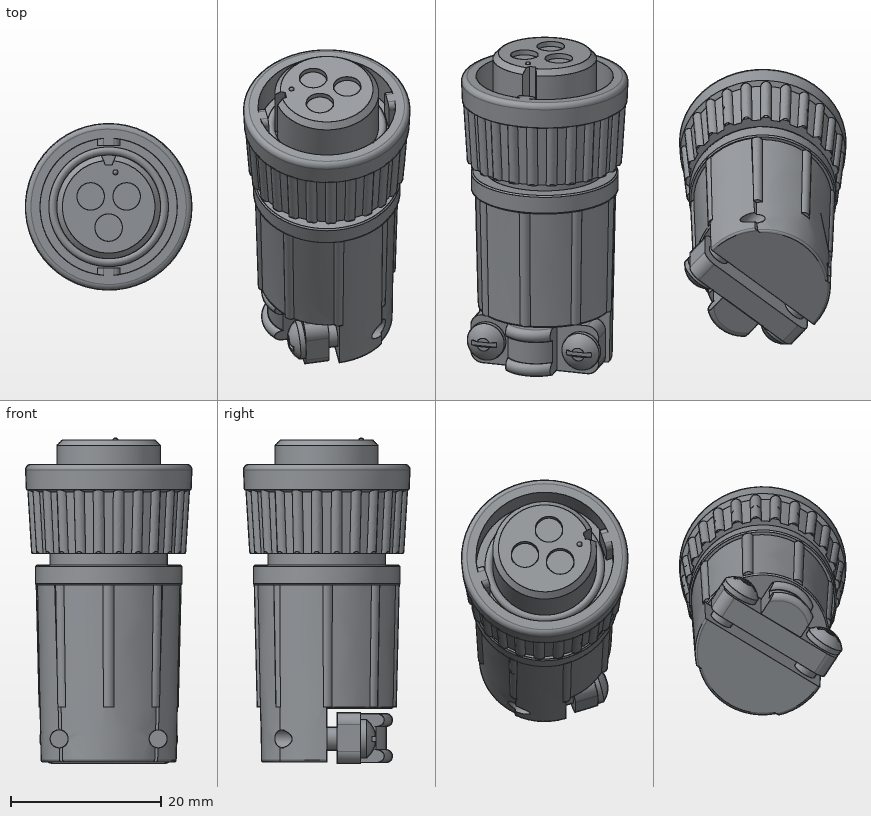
import cadquery as cq
import math

BODY_BOTTOM = 0.2
BACK_BOTTOM = 7.35
RIB_BOTTOM = 7.55
COLLAR_BOTTOM = 23.8
COLLAR_TOP = 26.45
GRIP_BOTTOM = 28.0
RING_BOTTOM = 36.55
RING_TOP = 39.9
CAVITY_FLOOR = 35.5
INSERT_TOP = 43.15
OVERALL_HEIGHT = 43.4

BODY_TOP_RADIUS = 9.2
BODY_BOTTOM_RADIUS = 8.72
BODY_EDGE_FILLET = 0.3
BACK_EDGE_CHAMFER = 0.2
FLANK_TOP_RADIUS = 9.5
FLANK_BOTTOM_RADIUS = 9.0
FLANK_FRONT_Y = -6.2
RIB_COUNT = 8
RIB_RADIUS = 0.8
RIB_CREST_TOP = 9.67
RIB_CREST_BOTTOM = 9.28
COLLAR_RADIUS = 9.8
COLLAR_CHAMFER = 0.2
NECK_RADIUS = 7.84

RING_RADIUS = 11.11
RING_LOWER_RADIUS = 11.0
RING_ROUND = 0.75
RING_UNDERCUT = 0.35
GRIP_ROOT_TOP = 10.3
GRIP_ROOT_BOTTOM = 9.8
GRIP_RIB_COUNT = 24
GRIP_RIB_RADIUS = 0.75
GRIP_CREST_TOP = 10.88
GRIP_CREST_BOTTOM = 10.35
GRIP_BEVEL_HEIGHT = 0.25
GRIP_BEVEL_WIDTH = 0.12
CAVITY_RADIUS = 9.15
TAB_HALF_WIDTH = 1.5
TAB_INNER_Y = 8.15
TAB_ROUND = 0.8
TAB_EMBED = 0.1
SEAL_INNER_RADIUS = 6.92
SEAL_OUTER_RADIUS = 8.0
SEAL_SQUEEZE = 0.02
SEAL_SEAT = 0.05

INSERT_RADIUS = 6.92
INSERT_CHAMFER = 0.75
CONTACT_COUNT = 3
CONTACT_RADIUS = 1.83
CONTACT_CIRCLE = 2.77
CONTACT_DEPTH = 0.7
KEYWAY_FLOOR_Y = 5.57
KEYWAY_FLOOR_HALF = 0.44
KEYWAY_MOUTH_HALF = 1.0
PIP_RADIUS = 0.35
PIP_X = 0.9
PIP_Y = 4.6

SCREW_X = 6.6
CLAMP_HEIGHT = 6.8
CLAMP_MID_Z = CLAMP_HEIGHT / 2
CLAMP_HALF_LENGTH = 8.9
CLAMP_CORNER = 1.6
CLAMP_FRONT_Y = 1.38
CLAMP_BACK_Y = 4.53
SCREW_Z = 3.3
SHANK_RADIUS = 1.55
SHANK_EMBED = 1.0
HEAD_RADIUS = 2.58
HEAD_SHOULDER = 0.75
HEAD_HEIGHT = 1.9
HEAD_FLAT_RADIUS = 0.9
HEAD_DOME_BULGE = 0.15
HEAD_SLOT_WIDTH = 0.66
HEAD_SLOT_DEPTH = 0.4
SADDLE_CENTER_Y = 3.82
SADDLE_RADIUS = 4.94
SADDLE_HALF_LENGTH = 3.1
SADDLE_HEIGHT = 6.55
SADDLE_GROOVE_RADIUS = 4.14
SADDLE_RIM_ROUND = 0.87
SCREW_HOLE_RADIUS = 1.2
SCREW_HOLE_END_Y = -3.0

BIG = 30.0


def cylinder(radius, bottom, top):
    return cq.Workplane("XY").workplane(offset=bottom).circle(radius).extrude(top - bottom)


def cone(bottom_radius, top_radius, bottom, top):
    """Upright cone frustum."""
    profile = [(0, bottom), (bottom_radius, bottom), (top_radius, top), (0, top)]
    return cq.Workplane("XZ").polyline(profile).close().revolve(360, (0, 0), (0, 1))


def block(x_min, x_max, y_min, y_max, z_min, z_max):
    box = cq.Workplane("XY").box(x_max - x_min, y_max - y_min, z_max - z_min, centered=False)
    return box.translate((x_min, y_min, z_min))


def leaning_ribs(count, first_angle, radius, crest_bottom, crest_top, bottom, top):
    """Ring of round ribs whose crests follow a cone."""
    rib = (
        cq.Workplane("XY").workplane(offset=bottom)
        .center(radius - crest_bottom, 0).circle(radius)
        .workplane(offset=top - bottom)
        .center(crest_bottom - crest_top, 0).circle(radius)
        .loft(ruled=True)
    )
    step = 360 / count
    return [rib.rotate((0, 0, 0), (0, 0, 1), first_angle + i * step) for i in range(count)]


def make_body():
    body = cone(BODY_BOTTOM_RADIUS, BODY_TOP_RADIUS, BODY_BOTTOM, COLLAR_BOTTOM)
    body = body.faces("<Z").edges().fillet(BODY_EDGE_FILLET)
    flanks = cone(FLANK_BOTTOM_RADIUS, FLANK_TOP_RADIUS, BODY_BOTTOM, COLLAR_BOTTOM)
    flanks = flanks.faces("<Z").edges().fillet(BODY_EDGE_FILLET)
    flanks = flanks.intersect(block(-BIG, BIG, FLANK_FRONT_Y, 0, 0, COLLAR_BOTTOM))
    body = body.union(flanks)
    body = body.cut(block(-BIG, BIG, 0, BIG, 0, BACK_BOTTOM))
    back_edge = cq.selectors.NearestToPointSelector((0, BODY_BOTTOM_RADIUS, BACK_BOTTOM))
    body = body.edges(back_edge).chamfer(BACK_EDGE_CHAMFER)

    ribs = leaning_ribs(
        RIB_COUNT, 0, RIB_RADIUS, RIB_CREST_BOTTOM, RIB_CREST_TOP, RIB_BOTTOM, COLLAR_BOTTOM
    )
    for rib in ribs:
        body = body.union(rib)

    collar = cylinder(COLLAR_RADIUS, COLLAR_BOTTOM, COLLAR_TOP).edges().chamfer(COLLAR_CHAMFER)
    return body.union(collar)


def make_screw_holes():
    holes = cq.Workplane("XZ", origin=(0, SCREW_HOLE_END_Y, SCREW_Z))
    return holes.pushPoints([(-SCREW_X, 0), (SCREW_X, 0)]).circle(SCREW_HOLE_RADIUS).extrude(BIG)


def make_ring():
    round_z = RING_TOP - RING_ROUND
    round_x = RING_RADIUS - RING_ROUND
    round_mid = RING_ROUND * math.sqrt(0.5)
    undercut_z = RING_BOTTOM - RING_UNDERCUT
    ring = (
        cq.Workplane("XZ")
        .moveTo(0, GRIP_BOTTOM)
        .lineTo(GRIP_ROOT_BOTTOM, GRIP_BOTTOM)
        .lineTo(GRIP_ROOT_TOP, undercut_z)
        .lineTo(RING_LOWER_RADIUS, RING_BOTTOM)
        .lineTo(RING_RADIUS, round_z)
        .threePointArc((round_x + round_mid, round_z + round_mid), (round_x, RING_TOP))
        .lineTo(0, RING_TOP)
        .close()
        .revolve(360, (0, 0), (0, 1))
    )
    half_step = 180 / GRIP_RIB_COUNT
    ribs = leaning_ribs(
        GRIP_RIB_COUNT, half_step, GRIP_RIB_RADIUS,
        GRIP_CREST_BOTTOM, GRIP_CREST_TOP, GRIP_BOTTOM, RING_BOTTOM,
    )
    for rib in ribs:
        ring = ring.union(rib)

    bevel_top = GRIP_BOTTOM + GRIP_BEVEL_HEIGHT
    bevel = cylinder(BIG, GRIP_BOTTOM, bevel_top).cut(
        cone(GRIP_CREST_BOTTOM - GRIP_BEVEL_WIDTH, GRIP_CREST_BOTTOM, GRIP_BOTTOM, bevel_top)
    )
    ring = ring.cut(bevel)

    ring = ring.cut(cylinder(CAVITY_RADIUS, CAVITY_FLOOR, RING_TOP))
    for y_sign in (1, -1):
        ring = ring.union(make_tab(y_sign))
    return ring


def make_tab(y_sign):
    """Guide tab on the cavity wall, with its upper side edges rounded."""
    outer_y = CAVITY_RADIUS + TAB_EMBED
    tab = block(-TAB_HALF_WIDTH, TAB_HALF_WIDTH, TAB_INNER_Y, outer_y, CAVITY_FLOOR, RING_TOP)
    tab = tab.faces(">Z").edges("|Y").fillet(TAB_ROUND)
    if y_sign < 0:
        tab = tab.mirror("XZ")
    return tab


def make_seal():
    tube = (SEAL_OUTER_RADIUS - SEAL_INNER_RADIUS) / 2
    middle = (SEAL_OUTER_RADIUS + SEAL_INNER_RADIUS) / 2 - SEAL_SQUEEZE
    center_z = CAVITY_FLOOR + tube - SEAL_SEAT
    section = cq.Workplane("XZ").center(middle, center_z).circle(tube)
    return section.revolve(360, (-middle, 0), (-middle, 1))


def make_insert():
    insert = cylinder(INSERT_RADIUS, CAVITY_FLOOR, INSERT_TOP)
    insert = insert.faces(">Z").edges().chamfer(INSERT_CHAMFER)

    contacts = (
        cq.Workplane("XY").workplane(offset=INSERT_TOP - CONTACT_DEPTH)
        .polarArray(CONTACT_CIRCLE, -90, 360, CONTACT_COUNT)
        .circle(CONTACT_RADIUS).extrude(CONTACT_DEPTH)
    )
    keyway = (
        cq.Workplane("XY").workplane(offset=CAVITY_FLOOR)
        .polyline([
            (-KEYWAY_FLOOR_HALF, KEYWAY_FLOOR_Y),
            (KEYWAY_FLOOR_HALF, KEYWAY_FLOOR_Y),
            (KEYWAY_MOUTH_HALF, INSERT_RADIUS),
            (-KEYWAY_MOUTH_HALF, INSERT_RADIUS),
        ])
        .close().extrude(INSERT_TOP - CAVITY_FLOOR)
    )
    pip = cq.Workplane("XY").sphere(PIP_RADIUS)
    pip = pip.translate((PIP_X, PIP_Y, OVERALL_HEIGHT - PIP_RADIUS))
    return insert.cut(contacts).cut(keyway).union(pip)


def make_saddle():
    """Arched block with two rounded rims and a groove between them."""
    rim = SADDLE_RIM_ROUND
    rim_center = SADDLE_RADIUS - rim
    saddle = (
        cq.Workplane("XZ")
        .lineTo(rim_center, 0)
        .threePointArc((SADDLE_RADIUS, rim), (rim_center, 2 * rim))
        .lineTo(SADDLE_GROOVE_RADIUS, 2 * rim)
        .lineTo(SADDLE_GROOVE_RADIUS, SADDLE_HEIGHT - 2 * rim)
        .lineTo(rim_center, SADDLE_HEIGHT - 2 * rim)
        .threePointArc((SADDLE_RADIUS, SADDLE_HEIGHT - rim), (rim_center, SADDLE_HEIGHT))
        .lineTo(0, SADDLE_HEIGHT)
        .close()
        .revolve(360, (0, 0), (0, 1))
    )
    saddle = saddle.translate((0, SADDLE_CENTER_Y, CLAMP_MID_Z - SADDLE_HEIGHT / 2))
    keep = block(
        -SADDLE_HALF_LENGTH, SADDLE_HALF_LENGTH, CLAMP_FRONT_Y, BIG, 0, CLAMP_HEIGHT
    )
    return saddle.intersect(keep)


def make_screw():
    """Slotted screw along Y, with its shank running into the body."""
    shoulder_y = CLAMP_BACK_Y + HEAD_SHOULDER
    tip_y = CLAMP_BACK_Y + HEAD_HEIGHT
    screw = (
        cq.Workplane("XY")
        .moveTo(0, -SHANK_EMBED)
        .lineTo(SHANK_RADIUS, -SHANK_EMBED)
        .lineTo(SHANK_RADIUS, CLAMP_BACK_Y)
        .lineTo(HEAD_RADIUS, CLAMP_BACK_Y)
        .lineTo(HEAD_RADIUS, shoulder_y)
        .sagittaArc((HEAD_FLAT_RADIUS, tip_y), -HEAD_DOME_BULGE)
        .lineTo(0, tip_y)
        .close()
        .revolve(360, (0, 0), (0, 1))
    )
    half_slot = HEAD_SLOT_WIDTH / 2
    slot = block(-BIG, BIG, tip_y - HEAD_SLOT_DEPTH, tip_y, -half_slot, half_slot)
    return screw.cut(slot).translate((0, 0, SCREW_Z))


def make_clamp():
    clamp = block(
        -CLAMP_HALF_LENGTH, CLAMP_HALF_LENGTH, CLAMP_FRONT_Y, CLAMP_BACK_Y, 0, CLAMP_HEIGHT
    )
    clamp = clamp.edges("|Y").fillet(CLAMP_CORNER)
    clamp = clamp.union(make_saddle())
    for x in (-SCREW_X, SCREW_X):
        clamp = clamp.union(make_screw().translate((x, 0, 0)))
    return clamp


result = make_body().cut(make_screw_holes())
result = result.union(cylinder(NECK_RADIUS, COLLAR_TOP, GRIP_BOTTOM))
result = result.union(make_ring())
result = result.union(make_insert())
result = result.union(make_seal())
result = result.union(make_clamp())